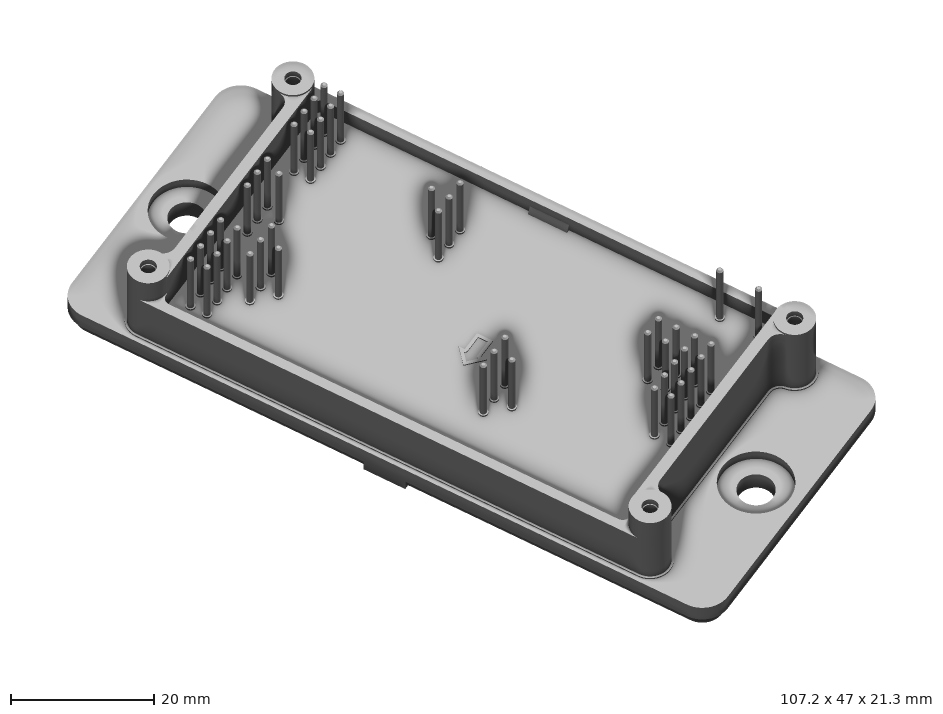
import cadquery as cq
import math

FLANGE_LENGTH = 107.2
FLANGE_WIDTH = 47.0
FLANGE_CORNER_RADIUS = 4.2
BASEPLATE_INSET = 1.0
BASEPLATE_TOP = 2.0
FLANGE_TOP = 4.65

TAB_WIDTH = 6.8
TAB_BOTTOM = 0.3

MOUNT_PITCH = 93.0
MOUNT_HOLE_DIAMETER = 5.5
MOUNT_SEAT_DIAMETER = 11.0
MOUNT_SEAT_HEIGHT = 3.0

POST_PITCH_X = 82.0
POST_PITCH_Y = 39.0
POST_RADIUS = 3.0
POST_TOP = 17.0
POST_HOLE_DIAMETER = 2.1
POST_HOLE_MOUTH_DIAMETER = 2.4
POST_HOLE_MOUTH_DEPTH = 1.0
POST_HOLE_DEPTH = 8.0

LONG_WALL_TOP = 12.9
END_WALL_TOP = 16.65
END_WALL_X = 39.65
WALL_TO_POST_FILLET = 2.0
FLOOR_TOP = 10.2
CAVITY_LENGTH = 75.8
CAVITY_WIDTH = 42.0
CAVITY_CORNER_RADIUS = 1.2
COLLAR_TOP = 4.9
COLLAR_OFFSET = 0.3

WEDGE_LENGTH = 6.4
WEDGE_DEPTH = 0.55
WEDGE_HEIGHT = 1.2

ARROW_X = 3.05
ARROW_TOP_Y = -1.4
ARROW_LENGTH = 5.8
ARROW_HEAD_LENGTH = 2.5
ARROW_HEAD_WIDTH = 4.6
ARROW_STEM_WIDTH = 2.6
ARROW_LINE_WIDTH = 0.5
ARROW_HEIGHT = 0.2

PIN_DIAMETER = 1.0
PIN_TOP = 21.28
PIN_TIP_CHAMFER = 0.25
PIN_FOOT_DIAMETER = 1.4
PIN_FOOT_HEIGHT = 0.3
FINE_PITCH = 2.7
WIDE_PITCH = 2.9

EDGE_COLUMN_X = 35.0
EDGE_ROW_Y = 18.0
LEFT_GROUP_ROWS = 4
RIGHT_GROUP_ROWS = 5
RIGHT_GROUP_TOP_Y = 6.85
INNER_GROUP_X = 26.4
SENSOR_ROW_Y = 18.6
SENSOR_OUTER_X = 35.65
T_GROUPS = [(-28.4, -10.0, 1), (9.75, -10.0, 1), (-9.8, 10.15, -1)]

POST_X = POST_PITCH_X / 2
POST_Y = POST_PITCH_Y / 2
POST_CENTERS = [(sx * POST_X, sy * POST_Y) for sx in (-1, 1) for sy in (-1, 1)]


def block(length, width, bottom, top):
    """Box centred on the Z axis between two heights."""
    return cq.Workplane("XY", origin=(0, 0, bottom)).rect(length, width).extrude(top - bottom)


def rounded_block(length, width, radius, bottom, top):
    """Centred box with rounded vertical edges."""
    return block(length, width, bottom, top).edges("|Z").fillet(radius)


def rods(points, diameter, bottom, top):
    """Vertical cylinders at the given places."""
    rod_plane = cq.Workplane("XY", origin=(0, 0, bottom))
    return rod_plane.pushPoints(points).circle(diameter / 2).extrude(top - bottom)


def housing_body(offset, bottom, top):
    """Housing outline: long sides tangent to the posts, end walls blended into them."""
    post_radius = POST_RADIUS + offset
    wall_x = END_WALL_X + offset
    blend = WALL_TO_POST_FILLET - offset
    side_y = POST_Y + post_radius
    blend_x = wall_x + blend
    to_post_x = blend_x - POST_X
    reach = post_radius + blend
    blend_y = POST_Y - math.sqrt(reach**2 - to_post_x**2)
    touch_x = POST_X + to_post_x * post_radius / reach
    touch_y = POST_Y - (POST_Y - blend_y) * post_radius / reach
    to_touch = math.atan2(touch_y - blend_y, touch_x - blend_x)
    middle = (to_touch + math.pi) / 2
    blend_mid_x = blend_x + blend * math.cos(middle)
    blend_mid_y = blend_y + blend * math.sin(middle)
    outer_x = POST_X + post_radius

    outline = (
        cq.Workplane("XY", origin=(0, 0, bottom))
        .moveTo(-POST_X, -side_y)
        .lineTo(POST_X, -side_y)
        .threePointArc((outer_x, -POST_Y), (touch_x, -touch_y))
        .threePointArc((blend_mid_x, -blend_mid_y), (wall_x, -blend_y))
        .lineTo(wall_x, blend_y)
        .threePointArc((blend_mid_x, blend_mid_y), (touch_x, touch_y))
        .threePointArc((outer_x, POST_Y), (POST_X, side_y))
        .lineTo(-POST_X, side_y)
        .threePointArc((-outer_x, POST_Y), (-touch_x, touch_y))
        .threePointArc((-blend_mid_x, blend_mid_y), (-wall_x, blend_y))
        .lineTo(-wall_x, -blend_y)
        .threePointArc((-blend_mid_x, -blend_mid_y), (-touch_x, -touch_y))
        .threePointArc((-outer_x, -POST_Y), (-POST_X, -side_y))
        .close()
    )
    return outline.extrude(top - bottom)


def base():
    """Baseplate, flange and the two locating tabs."""
    plate = rounded_block(
        FLANGE_LENGTH - 2 * BASEPLATE_INSET,
        FLANGE_WIDTH - 2 * BASEPLATE_INSET,
        FLANGE_CORNER_RADIUS - BASEPLATE_INSET,
        0,
        BASEPLATE_TOP,
    )
    flange = rounded_block(FLANGE_LENGTH, FLANGE_WIDTH, FLANGE_CORNER_RADIUS, BASEPLATE_TOP, FLANGE_TOP)
    tabs = block(TAB_WIDTH, FLANGE_WIDTH, TAB_BOTTOM, BASEPLATE_TOP)
    return plate.union(flange).union(tabs)


def mounting_holes():
    """Through holes with wide seats sunk into the flange."""
    centers = [(-MOUNT_PITCH / 2, 0), (MOUNT_PITCH / 2, 0)]
    holes = rods(centers, MOUNT_HOLE_DIAMETER, 0, FLANGE_TOP)
    seats = rods(centers, MOUNT_SEAT_DIAMETER, MOUNT_SEAT_HEIGHT, FLANGE_TOP)
    return holes.union(seats)


def housing():
    """Walled tray with low long walls, high end walls and four posts."""
    body = housing_body(0, FLANGE_TOP, LONG_WALL_TOP)
    collar = housing_body(COLLAR_OFFSET, FLANGE_TOP, COLLAR_TOP)
    end_walls = block(2 * END_WALL_X, POST_PITCH_Y, LONG_WALL_TOP, END_WALL_TOP)
    post_blends = housing_body(0, LONG_WALL_TOP, END_WALL_TOP).intersect(
        block(FLANGE_LENGTH, 2 * (POST_Y - POST_RADIUS / 2), LONG_WALL_TOP, END_WALL_TOP)
    )
    posts = rods(POST_CENTERS, 2 * POST_RADIUS, FLANGE_TOP, POST_TOP)
    cavity = rounded_block(CAVITY_LENGTH, CAVITY_WIDTH, CAVITY_CORNER_RADIUS, FLOOR_TOP, POST_TOP)
    tray = body.union(collar).union(end_walls).union(post_blends).union(posts)
    return tray.cut(cavity)


def wedges():
    """Sloped wedges between the floor and the long walls."""
    wall_y = CAVITY_WIDTH / 2
    profile = [
        (wall_y, FLOOR_TOP),
        (wall_y - WEDGE_DEPTH, FLOOR_TOP),
        (wall_y, FLOOR_TOP + WEDGE_HEIGHT),
    ]
    plane = cq.Workplane("YZ").polyline(profile).close()
    wedge = plane.extrude(WEDGE_LENGTH / 2, both=True)
    return wedge.union(wedge.mirror("XZ"))


def post_holes():
    """Blind screw holes with a slightly wider mouth."""
    holes = rods(POST_CENTERS, POST_HOLE_DIAMETER, POST_TOP - POST_HOLE_DEPTH, POST_TOP)
    mouths = rods(POST_CENTERS, POST_HOLE_MOUTH_DIAMETER, POST_TOP - POST_HOLE_MOUTH_DEPTH, POST_TOP)
    return holes.union(mouths)


def arrow():
    """Raised outline arrow on the floor pointing to -Y."""
    shoulder_y = ARROW_TOP_Y - ARROW_LENGTH + ARROW_HEAD_LENGTH
    half_stem = ARROW_STEM_WIDTH / 2
    half_head = ARROW_HEAD_WIDTH / 2
    points = [
        (ARROW_X - half_stem, ARROW_TOP_Y),
        (ARROW_X + half_stem, ARROW_TOP_Y),
        (ARROW_X + half_stem, shoulder_y),
        (ARROW_X + half_head, shoulder_y),
        (ARROW_X, ARROW_TOP_Y - ARROW_LENGTH),
        (ARROW_X - half_head, shoulder_y),
        (ARROW_X - half_stem, shoulder_y),
    ]
    floor = cq.Workplane("XY", origin=(0, 0, FLOOR_TOP))
    solid = floor.polyline(points).close().extrude(ARROW_HEIGHT)
    inside = floor.polyline(points).close().offset2D(-ARROW_LINE_WIDTH).extrude(ARROW_HEIGHT)
    return solid.cut(inside)


def pin_grid(x_start, y_start, columns, rows, pitch):
    """Rectangular pin group from its corner with the lowest X and Y."""
    return [
        (x_start + column * pitch, y_start + row * pitch)
        for column in range(columns)
        for row in range(rows)
    ]


def pin_places():
    """Places of all contact pins, group by group."""
    left_x = -EDGE_COLUMN_X
    left_group_span = (LEFT_GROUP_ROWS - 1) * FINE_PITCH
    places = pin_grid(left_x, EDGE_ROW_Y - left_group_span, 2, LEFT_GROUP_ROWS, FINE_PITCH)
    places += pin_grid(left_x, -EDGE_ROW_Y, 2, LEFT_GROUP_ROWS, FINE_PITCH)
    places += pin_grid(left_x, -FINE_PITCH, 1, 3, FINE_PITCH)
    places += [(left_x + FINE_PITCH, FINE_PITCH / 2)]

    for column_x, middle_y, side in T_GROUPS:
        places += pin_grid(column_x, middle_y - WIDE_PITCH, 1, 3, WIDE_PITCH)
        places += [(column_x + side * WIDE_PITCH, middle_y)]

    right_group_bottom = RIGHT_GROUP_TOP_Y - (RIGHT_GROUP_ROWS - 1) * FINE_PITCH
    right_group_x = EDGE_COLUMN_X - FINE_PITCH
    places += pin_grid(right_group_x, right_group_bottom, 2, RIGHT_GROUP_ROWS, FINE_PITCH)
    places += pin_grid(INNER_GROUP_X, RIGHT_GROUP_TOP_Y - WIDE_PITCH, 2, 2, WIDE_PITCH)

    places += [(INNER_GROUP_X + WIDE_PITCH, SENSOR_ROW_Y), (SENSOR_OUTER_X, SENSOR_ROW_Y)]
    return places


def pins():
    """Contact pins with chamfered tips, each on a short round foot."""
    places = pin_places()
    shafts = rods(places, PIN_DIAMETER, FLOOR_TOP, PIN_TOP).faces(">Z").chamfer(PIN_TIP_CHAMFER)
    feet = rods(places, PIN_FOOT_DIAMETER, FLOOR_TOP, FLOOR_TOP + PIN_FOOT_HEIGHT)
    return shafts.union(feet)


result = base().cut(mounting_holes())
result = result.union(housing()).union(wedges()).cut(post_holes())
result = result.union(arrow()).union(pins())